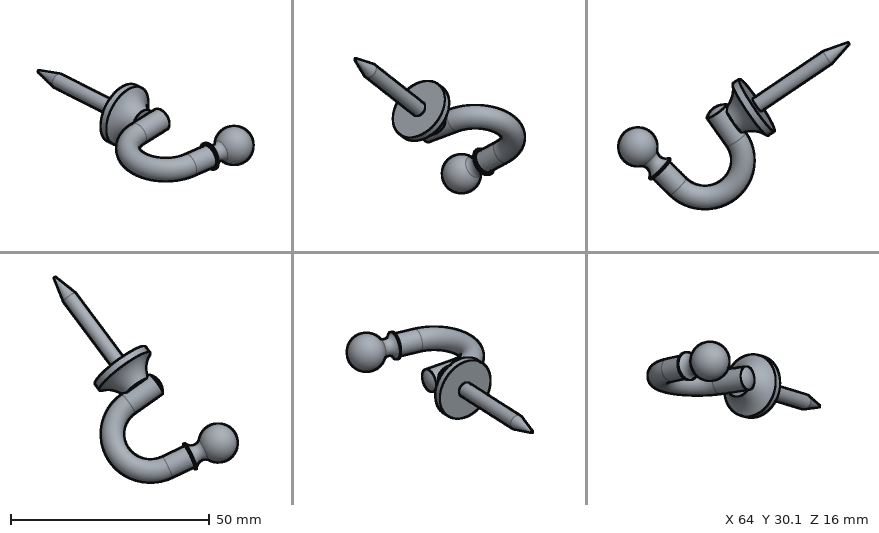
import cadquery as cq
import math

nail_radius = 2.0
nail_length = 28.15
point_length = 6.4
tip_radius = 0.3
flange_radius = 8.0
flange_thickness = 2.0
rose_end_radius = 3.8
rose_length = 7.05
flare_mid_x = 3.9
flare_mid_radius = 5.4

rod_radius = 3.0
post_x = 9.3
post_top = 4.5
dome_height = 1.0
bend_start_y = -4.3
bend_radius = 9.6
lean_angle = 10.0
arm_length = 6.3

collar_radius = 3.6
collar_thickness = 0.4
neck_radius = 2.25
neck_height = 2.55
neck_top_radius = 2.75
ball_radius = 5.0
ball_center_height = 8.05


def make_nail_and_rose():
    profile = (
        cq.Workplane("XY")
        .moveTo(-nail_length, 0)
        .lineTo(-nail_length, tip_radius)
        .lineTo(-nail_length + point_length, nail_radius)
        .lineTo(0, nail_radius)
        .lineTo(0, flange_radius)
        .lineTo(flange_thickness, flange_radius)
        .threePointArc((flare_mid_x, flare_mid_radius), (rose_length, rose_end_radius))
        .lineTo(rose_length, 0)
        .close()
    )
    return profile.revolve(360, (0, 0, 0), (1, 0, 0))


def make_post_dome():
    """Shallow spherical cap on the top of the post."""
    half_angle = 2 * math.atan(dome_height / rod_radius)
    sphere_radius = rod_radius / math.sin(half_angle)
    sphere_center_y = post_top + dome_height - sphere_radius
    mid_point = (
        post_x + sphere_radius * math.sin(half_angle / 2),
        sphere_center_y + sphere_radius * math.cos(half_angle / 2),
    )
    profile = (
        cq.Workplane("XY")
        .moveTo(post_x, post_top)
        .lineTo(post_x + rod_radius, post_top)
        .threePointArc(mid_point, (post_x, post_top + dome_height))
        .close()
    )
    return profile.revolve(360, (post_x, 0, 0), (post_x, 1, 0))


lean = math.radians(lean_angle)
bend_center_x = post_x + bend_radius
bend_end = (
    bend_center_x + bend_radius * math.cos(lean),
    bend_start_y - bend_radius * math.sin(lean),
)
arm_end = (
    bend_end[0] + arm_length * math.sin(lean),
    bend_end[1] + arm_length * math.cos(lean),
)


def make_rod():
    """Straight post, circular bend and leaning free arm."""
    path = (
        cq.Workplane("XY")
        .moveTo(post_x, post_top)
        .lineTo(post_x, bend_start_y)
        .threePointArc((bend_center_x, bend_start_y - bend_radius), bend_end)
        .lineTo(*arm_end)
    )
    section = cq.Workplane("XZ", origin=(post_x, post_top, 0)).circle(rod_radius)
    return section.sweep(path)


def make_finial():
    """Collar, waisted neck and ball, built upright along Y and then tilted onto the arm."""
    neck_top = ball_center_height - math.sqrt(ball_radius**2 - neck_top_radius**2)
    profile = (
        cq.Workplane("XY")
        .lineTo(collar_radius, 0)
        .lineTo(collar_radius, collar_thickness)
        .threePointArc((neck_radius, neck_height), (neck_top_radius, neck_top))
        .threePointArc(
            (ball_radius, ball_center_height),
            (0, ball_center_height + ball_radius),
        )
        .close()
    )
    finial = profile.revolve(360, (0, 0, 0), (0, 1, 0))
    return finial.rotate((0, 0, 0), (0, 0, 1), -lean_angle).translate((*arm_end, 0))


result = make_nail_and_rose().union(make_rod()).union(make_post_dome()).union(make_finial())